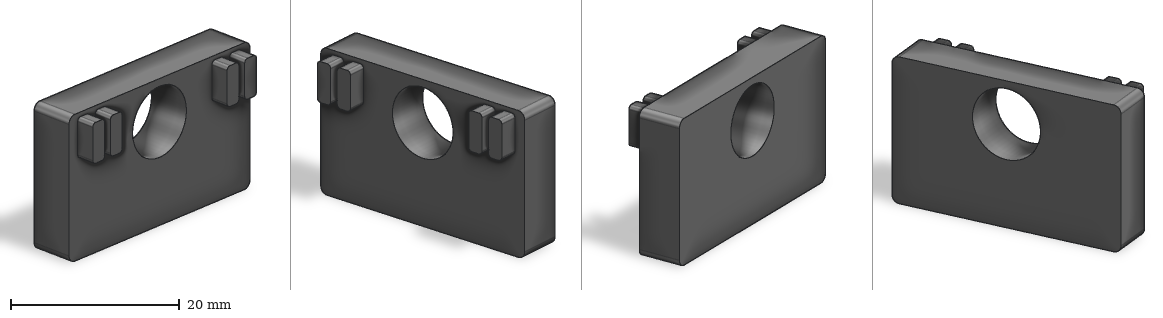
import cadquery as cq

plate_thickness = 5.75
plate_length = 31.0
plate_height = 19.0
plate_corner_radius = 1.0

hole_diameter = 9.2
hole_top_margin = 1.0

overall_thickness = 8.2
peg_width = 2.0
peg_height = 5.3
peg_edge_radius = 0.5
peg_top_margin = 0.6
peg_pair_offset = 11.5
peg_pitch = 3.0

plate_top = plate_height / 2


def make_plate():
    """Upright plate with rounded corners."""
    plate = cq.Workplane("YZ").rect(plate_length, plate_height).extrude(plate_thickness)
    return plate.edges("|X").fillet(plate_corner_radius)


def make_hole():
    """Cylinder to remove, centred along the length near the top edge."""
    hole_z = plate_top - hole_top_margin - hole_diameter / 2
    return cq.Workplane("YZ").center(0, hole_z).circle(hole_diameter / 2).extrude(plate_thickness)


def make_pegs():
    """Four rounded pegs, paired near both ends of the plate."""
    peg_z = plate_top - peg_top_margin - peg_height / 2
    peg_centres = [
        (side * peg_pair_offset + shift * peg_pitch / 2, peg_z)
        for side in (-1, 1)
        for shift in (-1, 1)
    ]
    pegs = (
        cq.Workplane("YZ", origin=(plate_thickness, 0, 0))
        .pushPoints(peg_centres)
        .rect(peg_width, peg_height)
        .extrude(overall_thickness - plate_thickness)
    )
    return pegs.edges("|X").fillet(peg_edge_radius)


result = make_plate().cut(make_hole()).union(make_pegs())